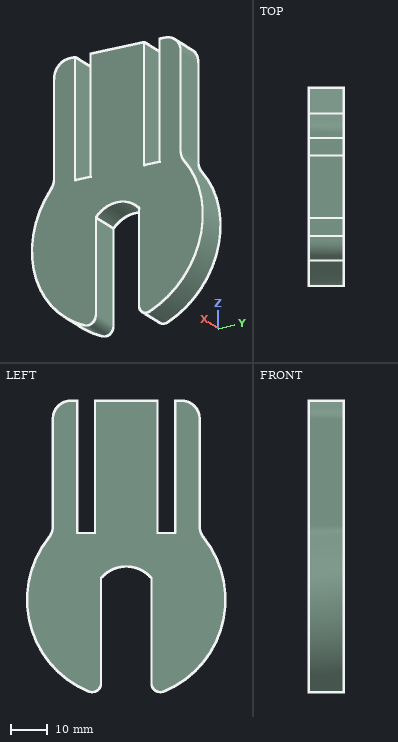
import cadquery as cq
import math

thickness = 9.53

disc_radius = 27.0
bore_radius = 9.0
mouth_width = 13.6
tip_fillet = 2.5

stem_width = 40.0
stem_length = 36.0
corner_radius = 5.0
neck_fillet = 5.0
center_prong_width = 17.0
slit_width = 4.8
slit_depth = stem_length

pick_margin = 0.1

neck_z = math.sqrt(disc_radius**2 - (stem_width / 2) ** 2)
stem_top = neck_z + stem_length


def block(width, bottom, top, center_y=0.0):
    """Block through the plate thickness, centred on center_y, between two heights."""
    return (
        cq.Workplane("YZ")
        .center(center_y, (bottom + top) / 2)
        .rect(width, top - bottom)
        .extrude(thickness / 2, both=True)
    )


def disc(radius):
    """Disc through the plate thickness, centred at the origin."""
    return cq.Workplane("YZ").circle(radius).extrude(thickness / 2, both=True)


def edges_at(half_width, z):
    """Selector for the two through-thickness edges at Y = +-half_width and height z."""
    boxes = [
        cq.selectors.BoxSelector(
            (-thickness, y - pick_margin, z - pick_margin),
            (thickness, y + pick_margin, z + pick_margin),
        )
        for y in (-half_width, half_width)
    ]
    return boxes[0] + boxes[1]


def make_body():
    stem = block(stem_width, 0, stem_top)
    body = disc(disc_radius).union(stem)
    body = body.edges(edges_at(stem_width / 2, neck_z)).fillet(neck_fillet)
    return body.edges(edges_at(stem_width / 2, stem_top)).fillet(corner_radius)


def cut_mouth(body):
    """Cut the bottom slot with its arched end and round the two tips."""
    half_mouth = mouth_width / 2
    arch_start = math.sqrt(bore_radius**2 - half_mouth**2)
    channel = block(mouth_width, -disc_radius, arch_start)
    arch = disc(bore_radius).intersect(block(mouth_width, 0, bore_radius))
    body = body.cut(channel.union(arch))
    tip_z = -math.sqrt(disc_radius**2 - half_mouth**2)
    return body.edges(edges_at(half_mouth, tip_z)).fillet(tip_fillet)


def cut_slits(body):
    """Cut the two slits that separate the outer prongs from the centre one."""
    slit_offset = (center_prong_width + slit_width) / 2
    for y in (-slit_offset, slit_offset):
        body = body.cut(block(slit_width, stem_top - slit_depth, stem_top, y))
    return body


result = cut_slits(cut_mouth(make_body()))